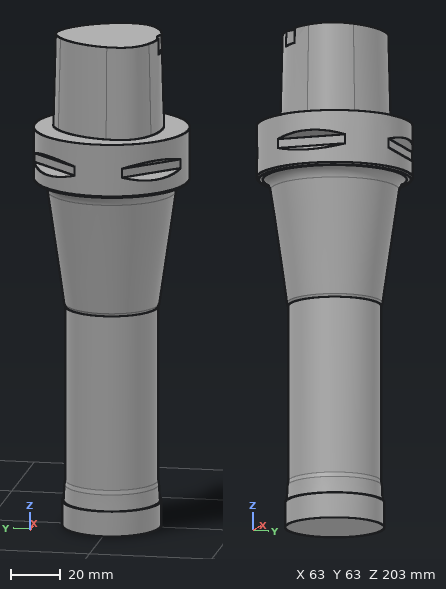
import cadquery as cq
import math

total_height = 203.0
shank_height = 38.0
flange_bottom = 143.0
flange_top = total_height - shank_height
end_cap_height = 10.4

shank_base_radius = 22.3
shank_taper = 1 / 20
shank_top_radius = shank_base_radius - shank_taper * shank_height / 2
lobe_eccentricity = 1.5
flat_half_angle = 24.0

notch_width = 8.1
notch_depth = 1.5
notch_height = 6.3
notch_radius = ((notch_width / 2) ** 2 + notch_depth ** 2) / (2 * notch_depth)

flange_radius = 31.5
flange_chamfer = 0.8
slot_count = 4
slot_start_angle = 45.0
slot_center_height = 153.3
slot_floor_distance = 28.0
slot_floor_width = 3.7
slot_wall_angle = 32.0

neck_outer_radius = 29.0
neck_sagitta = 0.6
cone_top_height = 138.6
cone_top_radius = 26.0
cone_bottom_height = 92.2
cone_bottom_radius = 19.3
tube_top_height = 91.0
tube_radius = 37.5 / 2

collar_start_height = 18.9
collar_edge_height = 17.0
collar_edge_radius = 19.0
collar_bottom_radius = 19.5

end_cap_radius = 40.0 / 2


def trilobe_point(mean_radius, normal_angle, height):
    """Point of the trilobe where its outward normal has the given angle, in degrees.

    The distance from the axis to the tangent line is R - e * cos(3 * a), with a measured from
    the -Y direction, so that one flat faces -Y and one lobe points to +Y.
    """
    angle = math.radians(normal_angle)
    phase = 3 * math.radians(normal_angle - 270)
    support = mean_radius - lobe_eccentricity * math.cos(phase)
    support_slope = 3 * lobe_eccentricity * math.sin(phase)
    return cq.Vector(
        support * math.cos(angle) - support_slope * math.sin(angle),
        support * math.sin(angle) + support_slope * math.cos(angle),
        height,
    )


def trilobe_edge(mean_radius, start_angle, end_angle, height):
    """Smooth edge along the trilobe between two normal directions."""
    steps = 8
    points = [
        trilobe_point(mean_radius, start_angle + (end_angle - start_angle) * i / steps, height)
        for i in range(steps + 1)
    ]
    tangents = [
        cq.Vector(-math.sin(math.radians(a)), math.cos(math.radians(a)), 0)
        for a in (start_angle, end_angle)
    ]
    return cq.Edge.makeSpline(points, tangents=tangents)


def trilobe_wire(mean_radius, height):
    """Closed trilobe of three flats and three lobes."""
    edges = []
    for flat_angle in (30, 150, 270):
        flat_start = flat_angle - flat_half_angle
        flat_end = flat_angle + flat_half_angle
        edges.append(trilobe_edge(mean_radius, flat_start, flat_end, height))
        edges.append(trilobe_edge(mean_radius, flat_end, flat_start + 120, height))
    return cq.Wire.assembleEdges(edges)


def make_shank():
    """Tapered trilobe shank with a round-backed notch in its -Y flat."""
    base = trilobe_wire(shank_base_radius, flange_top)
    top = trilobe_wire(shank_top_radius, total_height)
    shank = cq.Workplane(obj=cq.Solid.makeLoft([base, top], True))
    flat_distance = shank_top_radius - lobe_eccentricity
    notch = (
        cq.Workplane("XY", origin=(0, 0, total_height - notch_height))
        .center(0, -(flat_distance - notch_depth + notch_radius))
        .circle(notch_radius)
        .extrude(notch_height)
    )
    return shank.cut(notch)


def make_turned_body():
    """Flange, concave neck, cone, tube and collar as one turned profile."""
    return (
        cq.Workplane("XZ")
        .moveTo(0, flange_top)
        .lineTo(flange_radius, flange_top)
        .lineTo(flange_radius, flange_bottom + flange_chamfer)
        .lineTo(flange_radius - flange_chamfer, flange_bottom)
        .lineTo(neck_outer_radius, flange_bottom)
        .sagittaArc((cone_top_radius, cone_top_height), -neck_sagitta)
        .lineTo(cone_bottom_radius, cone_bottom_height)
        .lineTo(tube_radius, tube_top_height)
        .lineTo(tube_radius, collar_start_height)
        .lineTo(collar_edge_radius, collar_edge_height)
        .lineTo(collar_bottom_radius, end_cap_height)
        .lineTo(0, end_cap_height)
        .close()
        .revolve(360, (0, 0, 0), (0, 1, 0))
    )


def make_gripper_slot(angle):
    """Straight trapezoidal channel, widening outwards, across the flange rim."""
    channel_depth = flange_radius - slot_floor_distance
    floor_half = slot_floor_width / 2
    mouth_half = floor_half + channel_depth * math.tan(math.radians(slot_wall_angle))
    return (
        cq.Workplane("XZ", origin=(0, flange_radius, slot_center_height))
        .polyline([
            (slot_floor_distance, -floor_half),
            (flange_radius, -mouth_half),
            (flange_radius, mouth_half),
            (slot_floor_distance, floor_half),
        ])
        .close()
        .extrude(2 * flange_radius)
        .rotate((0, 0, 0), (0, 0, 1), angle)
    )


def make_holder():
    """Tool holder: turned body with gripper slots, carrying the shank."""
    holder = make_turned_body()
    for i in range(slot_count):
        holder = holder.cut(make_gripper_slot(slot_start_angle + i * 360 / slot_count))
    return holder.union(make_shank())


def make_end_cap():
    """Plain disc closing the lower end of the holder."""
    return cq.Workplane("XY").circle(end_cap_radius).extrude(end_cap_height)


holder = make_holder()
end_cap = make_end_cap()
result = cq.Compound.makeCompound([holder.val(), end_cap.val()])